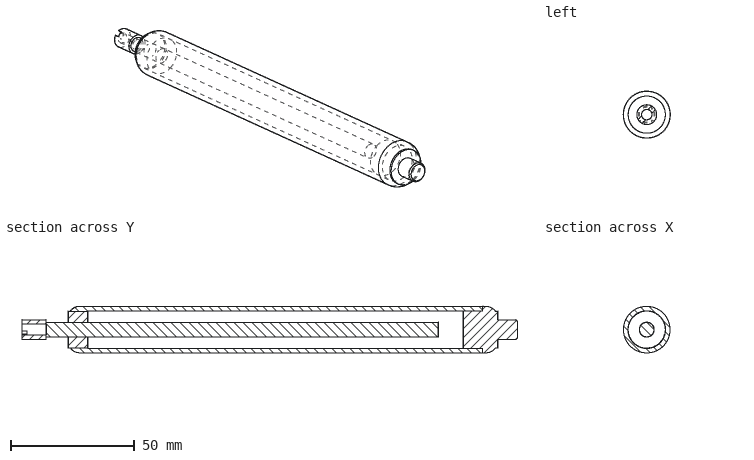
import cadquery as cq

overall_length = 200.0
tip_x = -overall_length / 2
stud_tip_x = overall_length / 2

collar_diameter = 8.0
collar_length = 9.8
collar_bore = 4.2
slot_width = 2.2
slot_depth = 2.0
slot_angle = 45.0
collar_end_x = tip_x + collar_length

body_diameter = 19.0
tube_bore = 15.0
end_radius = 4.8
tube_start_offset = 18.5
tube_start_x = tip_x + tube_start_offset

gland_length = 8.0
gland_end_x = tube_start_x + gland_length

stud_diameter = 8.0
stud_length = 8.0
stud_chamfer = 0.5
plug_rim_length = 1.2
spigot_length = 8.0
lip_end_x = stud_tip_x - stud_length
plug_start_x = lip_end_x - end_radius - plug_rim_length

rod_diameter = 6.0
rod_end_gap = 10.0
rod_end_x = plug_start_x - spigot_length - rod_end_gap


def cylinder(start_x, end_x, diameter):
    """Solid cylinder on the X axis between two X positions."""
    return cq.Workplane("YZ", origin=(start_x, 0, 0)).circle(diameter / 2).extrude(end_x - start_x)


def make_collar():
    """Sleeve bored right through, with a diagonal slot across its tip."""
    sleeve = cylinder(tip_x, collar_end_x, collar_diameter)
    bore = cylinder(tip_x, collar_end_x, collar_bore)
    slot = (
        cq.Workplane("XY")
        .box(slot_depth, 2 * collar_diameter, slot_width, centered=(False, True, True))
        .rotate((0, 0, 0), (1, 0, 0), -slot_angle)
        .translate((tip_x, 0, 0))
    )
    return sleeve.cut(bore).cut(slot)


def make_rod():
    """Plain rod that butts against the inner end of the collar."""
    return cylinder(collar_end_x, rod_end_x, rod_diameter)


def make_gland():
    """Disc that fills the tube bore and guides the rod."""
    disc = cylinder(tube_start_x, gland_end_x, tube_bore)
    return disc.cut(cylinder(tube_start_x, gland_end_x, rod_diameter))


def make_tube():
    """Barrel rounded at the front; the bore cuts away the tip of the rounding."""
    barrel = cylinder(tube_start_x, plug_start_x, body_diameter).faces("<X").edges().fillet(end_radius)
    return barrel.cut(cylinder(tube_start_x, plug_start_x, tube_bore))


def make_plug():
    """One-piece rear cap: spigot, rounded shoulder, lip and chamfered stud."""
    shoulder = cylinder(plug_start_x, lip_end_x, body_diameter).faces(">X").edges().fillet(end_radius)
    spigot_and_lip = cylinder(plug_start_x - spigot_length, lip_end_x, tube_bore)
    stud = cylinder(lip_end_x, stud_tip_x, stud_diameter).faces(">X").edges().chamfer(stud_chamfer)
    return shoulder.union(spigot_and_lip).union(stud)


collar = make_collar()
rod = make_rod()
gland = make_gland()
tube = make_tube()
plug = make_plug()

result = cq.Compound.makeCompound([collar.val(), rod.val(), gland.val(), tube.val(), plug.val()])